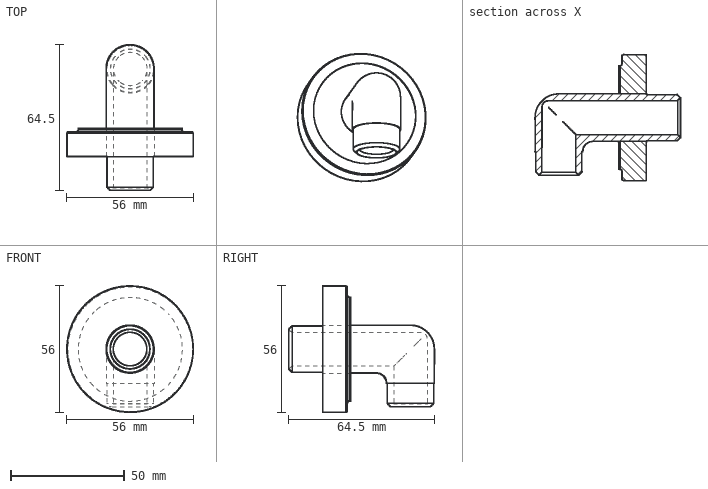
import cadquery as cq
import math


body_radius = 10.65
pipe_radius = 10.3
inlet_length = 15.0
bend_y = 38.8
shoulder_drop = 15.0
outlet_drop = 25.55
end_chamfer = 1.5
crotch_radius = shoulder_drop - body_radius
bore_radius = 7.4
bore_bend_height = 4.5
trim_allowance = 3.2
bore_chamfer = 1.3

disc_radius = 28.0
disc_thickness = 10.95
front_edge_round = 0.2
rear_edge_width = 0.4
rear_edge_length = 0.8
washer_radius = 23.0
cove_radius = 0.8
washer_thickness = 0.8
washer_edge_round = 0.2


def cylinder_y(radius, start, end):
    """Cylinder on the Y axis."""
    return cq.Workplane("XZ", origin=(0, start, 0)).circle(radius).extrude(start - end)


def cylinder_z(radius, bottom, top):
    """Cylinder on the outlet axis."""
    return cq.Workplane("XY", origin=(0, bend_y, bottom)).circle(radius).extrude(top - bottom)


def build_elbow_body():
    """Two crossing cylinders, filleted in the crotch and closed by a sphere outside."""
    horizontal = cylinder_y(body_radius, 0, bend_y)
    vertical = cylinder_z(body_radius, -shoulder_drop - trim_allowance, 0)
    body = horizontal.union(vertical).edges("%ELLIPSE").fillet(crotch_radius)
    trim_width = 4 * body_radius
    below_shoulder = cq.Workplane("XY", origin=(0, bend_y, -shoulder_drop)).rect(
        trim_width, trim_width).extrude(-trim_allowance)
    bend_cap = cq.Workplane("XY", origin=(0, bend_y, 0)).sphere(body_radius)
    return body.cut(below_shoulder).union(bend_cap)


def build_bore():
    """Round bore through both legs, mitred at the bend with its outer corner rounded."""
    far = bend_y + bore_radius
    horizontal = cylinder_y(bore_radius, -inlet_length, far)
    vertical = cylinder_z(bore_radius, -outlet_drop, bore_radius)
    mitre = horizontal.intersect(vertical)
    bore = cylinder_y(bore_radius, -inlet_length, bend_y).union(mitre)
    bore = bore.union(cylinder_z(bore_radius, -outlet_drop, 0))

    round_y = bend_y + bore_bend_height
    corner = cq.Workplane("XY").box(
        2 * bore_radius, bore_radius, bore_radius, centered=(True, False, False)
    ).translate((0, round_y, bore_bend_height))
    half_chord = math.sqrt(bore_radius**2 - bore_bend_height**2)
    corner_round = (
        cq.Workplane("XZ", origin=(0, round_y, 0))
        .moveTo(-half_chord, bore_bend_height)
        .threePointArc((0, bore_radius), (half_chord, bore_bend_height))
        .close()
        .revolve(360, (0, bore_bend_height), (1, bore_bend_height))
    )
    return bore.cut(corner).union(corner_round)


def build_elbow():
    """Hollow elbow with a chamfered pipe end on each leg."""
    inlet = cylinder_y(pipe_radius, -inlet_length, 0).faces("<Y").chamfer(end_chamfer)
    outlet = cylinder_z(pipe_radius, -outlet_drop, -shoulder_drop).faces("<Z").chamfer(end_chamfer)
    elbow = build_elbow_body().union(inlet).union(outlet).cut(build_bore())
    bore_mouths = elbow.faces("<Y or <Z").edges(cq.selectors.RadiusNthSelector(0))
    return bore_mouths.chamfer(bore_chamfer)


def build_disc():
    """Wall disc bored for the elbow, with a flared seat for the washer behind it."""
    disc = cylinder_y(disc_radius, 0, disc_thickness)
    disc = disc.faces("<Y").edges().fillet(front_edge_round)
    disc = disc.faces(">Y").edges().chamfer(rear_edge_length, rear_edge_width)
    seat_y = disc_thickness + cove_radius
    sag = cove_radius * (1 - math.sqrt(0.5))
    seat = (
        cq.Workplane("XY")
        .moveTo(0, disc_thickness)
        .lineTo(washer_radius + cove_radius, disc_thickness)
        .threePointArc((washer_radius + sag, disc_thickness + sag), (washer_radius, seat_y))
        .lineTo(0, seat_y)
        .close()
        .revolve(360, (0, 0), (0, 1))
    )
    return disc.union(seat).cut(cylinder_y(body_radius, 0, seat_y))


def build_washer():
    """Flat washer on the disc's rear seat, rounded on its outer rear edge."""
    front = disc_thickness + cove_radius
    rear = front + washer_thickness
    washer = cylinder_y(washer_radius, front, rear)
    washer = washer.faces(">Y").edges().fillet(washer_edge_round)
    return washer.cut(cylinder_y(body_radius, front, rear))


elbow = build_elbow()
disc = build_disc()
washer = build_washer()
result = cq.Compound.makeCompound([elbow.solids().val(), disc.solids().val(), washer.solids().val()])